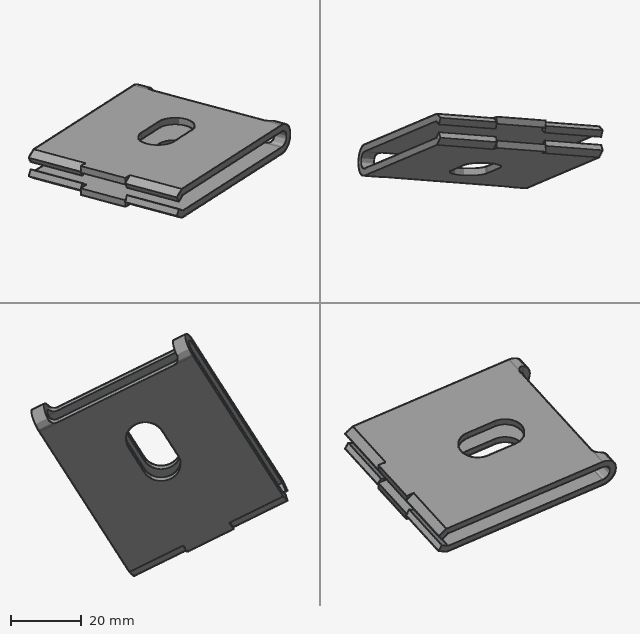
import cadquery as cq
import math

width = 50.0
length = 59.3
height = 9.0
thickness = 2.1

strap_width = 4.05
window_corner_radius = 2.0

slot_width = 10.95
slot_length = 20.15
slot_center_y = 33.25

tab_width = 15.05
tab_setback = 0.25
lip_root_y = 3.85
lip_run = 2.6
lip_angle = math.radians(32)

bend_radius = height / 2
inner_radius = bend_radius - thickness
bend_y = length - bend_radius
lip_width = (width - tab_width) / 2


def folded_sheet():
    """U-shaped sheet, open at the front and rounded at the back."""
    return (
        cq.Workplane("YZ")
        .moveTo(tab_setback, bend_radius)
        .lineTo(bend_y, bend_radius)
        .threePointArc((length, 0), (bend_y, -bend_radius))
        .lineTo(tab_setback, -bend_radius)
        .lineTo(tab_setback, -inner_radius)
        .lineTo(bend_y, -inner_radius)
        .threePointArc((bend_y + inner_radius, 0), (bend_y, inner_radius))
        .lineTo(tab_setback, inner_radius)
        .close()
        .extrude(width / 2, both=True)
    )


def fold_window():
    """Opening through the fold, with rounded corners where the straps begin."""
    return (
        cq.Workplane("XY")
        .box(width - 2 * strap_width, 2 * bend_radius, height, centered=(True, False, True))
        .edges("|Z and <Y")
        .fillet(window_corner_radius)
        .translate((0, bend_y, 0))
    )


def lip(side, level):
    """Lip on one side (-1 or 1) of the upper (1) or lower (-1) plate, bent toward the middle."""
    drop = lip_run * math.tan(lip_angle)
    end_y = thickness * math.sin(lip_angle)
    end_z = bend_radius - drop - thickness * math.cos(lip_angle)
    crease_y = end_y + (inner_radius - end_z) / math.tan(lip_angle)
    profile = [
        (lip_root_y, bend_radius),
        (lip_run, bend_radius),
        (0, bend_radius - drop),
        (end_y, end_z),
        (crease_y, inner_radius),
        (lip_root_y, inner_radius),
    ]
    return (
        cq.Workplane("YZ")
        .polyline([(y, level * z) for y, z in profile])
        .close()
        .extrude(lip_width / 2, both=True)
        .translate((side * (width - lip_width) / 2, 0, 0))
    )


slot = (
    cq.Workplane("XY")
    .center(0, slot_center_y)
    .slot2D(slot_length, slot_width, 90)
    .extrude(height, both=True)
)

result = folded_sheet().cut(fold_window()).cut(slot)

for side in (-1, 1):
    edge_relief = (
        cq.Workplane("XY")
        .box(lip_width, lip_root_y, height, centered=(True, False, True))
        .translate((side * (width - lip_width) / 2, 0, 0))
    )
    result = result.cut(edge_relief)
    for level in (-1, 1):
        result = result.union(lip(side, level))

result = result.translate((0, -length / 2, 0))